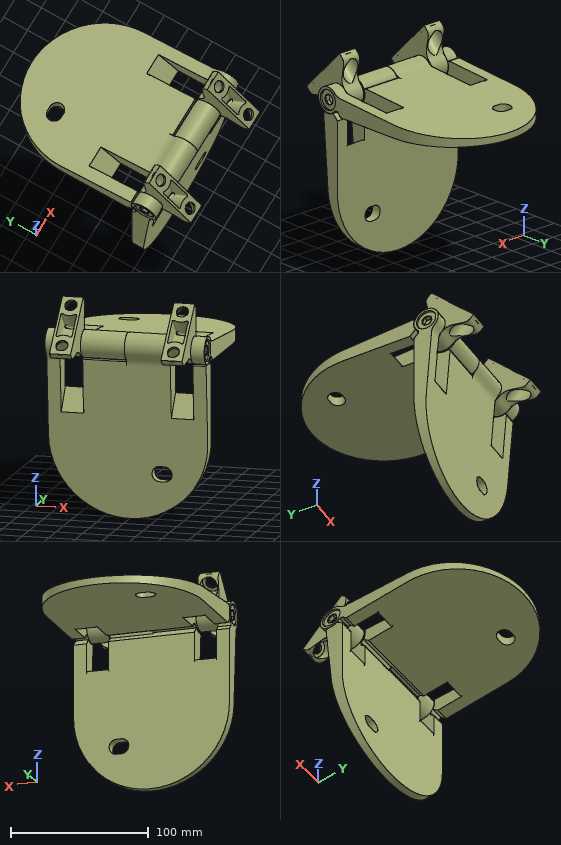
import cadquery as cq
import math

HALF_WIDTH = 60.0
LEAF_REACH = 129.5
KNUCKLE_R = 10.1
KNUCKLE_FILLET = 10.0
PIN_R = 5.0

SURFACE_HEIGHT = 5.5
TIP_THICKNESS = 5.7
ROOT_CHAMFER = 3.5
CLEARANCE_R = 10.5
NOTCH_BEVEL_START = 10.8
SLOT_INNER_X = 33.0
SLOT_OUTER_X = 49.9
SLOT_LONG_REACH = 51.7
SLOT_SHORT_REACH = 34.8
OBLONG_X = 25.0
OBLONG_REACH = 94.5
OBLONG_LENGTH = 14.9
OBLONG_WIDTH = 11.3

BRACKET_WIDTH = 15.9
FACE_DISTANCE = 23.0
FACE_HALF_LENGTH = 25.0
END_HEIGHT = 7.0
END_ROUND = 5.0
FLANK_ANGLE = 35.0
SCREW_OFFSET = 17.5
SCREW_R = 4.4
WALL = 2.0
SEAT_R = 7.0
POCKET_ROUND = 1.0

HEAD_R = 8.0
HEAD_LENGTH = 5.0
HEAD_ROUND = 1.0
HEAD_SINK = 1.0
SOCKET_CORNERS = 8.0
SOCKET_MOUTH_R = 4.1
SOCKET_DEPTH = 3.6
DRILL_POINT_HALF_ANGLE = 59.0

FLAT_Z = -KNUCKLE_R
TIP_Z = FLAT_Z + TIP_THICKNESS
SLOPE = (SURFACE_HEIGHT - TIP_Z) / LEAF_REACH
RECESS_DEPTH = HEAD_LENGTH + HEAD_SINK
OVERCUT = 1.6


def surface_z(y):
    """Height of the leaf's sloping face at distance y from the hinge axis."""
    return SURFACE_HEIGHT - SLOPE * y


def extrude_x(points, x_start, x_end):
    """Prism along X with a (y, z) polygon as its section."""
    section = cq.Workplane("YZ", origin=(x_start, 0, 0)).polyline(points).close()
    return section.extrude(x_end - x_start)


def cylinder_x(radius, x_start, x_end):
    """Cylinder on the hinge axis."""
    return cq.Workplane("YZ", origin=(x_start, 0, 0)).circle(radius).extrude(x_end - x_start)


def leaf_plate():
    """Tapered plate with a round end and knuckles along its whole width."""
    tilt = math.atan(SLOPE)
    centre_gap = KNUCKLE_R + KNUCKLE_FILLET
    axis_to_surface = SURFACE_HEIGHT * math.cos(tilt)
    direction = math.asin((axis_to_surface + KNUCKLE_FILLET) / centre_gap) - tilt
    centre_y = centre_gap * math.cos(direction)
    centre_z = centre_gap * math.sin(direction)
    knuckle_touch = (KNUCKLE_R * math.cos(direction), KNUCKLE_R * math.sin(direction))
    surface_touch = (
        centre_y - KNUCKLE_FILLET * math.sin(tilt),
        centre_z - KNUCKLE_FILLET * math.cos(tilt),
    )
    end_angle = -math.pi / 2 - tilt
    mid_angle = (direction - math.pi + end_angle) / 2
    blend_middle = (
        centre_y + KNUCKLE_FILLET * math.cos(mid_angle),
        centre_z + KNUCKLE_FILLET * math.sin(mid_angle),
    )
    shelf_z = FLAT_Z + ROOT_CHAMFER
    shelf_y = math.sqrt(KNUCKLE_R**2 - shelf_z**2)
    section = (
        cq.Workplane("YZ", origin=(-HALF_WIDTH, 0, 0))
        .moveTo(LEAF_REACH, FLAT_Z)
        .lineTo(KNUCKLE_R + ROOT_CHAMFER, FLAT_Z)
        .lineTo(KNUCKLE_R, shelf_z)
        .lineTo(shelf_y, shelf_z)
        .threePointArc((-KNUCKLE_R, 0), knuckle_touch)
        .threePointArc(blend_middle, surface_touch)
        .lineTo(LEAF_REACH, TIP_Z)
        .close()
    )
    plate = section.extrude(2 * HALF_WIDTH)

    arc_centre_y = LEAF_REACH - HALF_WIDTH
    outline = (
        cq.Workplane("XY", origin=(0, 0, -2 * KNUCKLE_R))
        .moveTo(-HALF_WIDTH, -KNUCKLE_R)
        .lineTo(HALF_WIDTH, -KNUCKLE_R)
        .lineTo(HALF_WIDTH, arc_centre_y)
        .threePointArc((0, LEAF_REACH), (-HALF_WIDTH, arc_centre_y))
        .close()
        .extrude(4 * KNUCKLE_R)
    )
    return plate.intersect(outline)


def knuckle_notch(x_start, x_end):
    """Space for a knuckle of the other leaf: a round hollow with 45 degree bevels beside it."""
    hollow = cylinder_x(CLEARANCE_R, x_start, x_end)
    far = 3 * KNUCKLE_R
    bevel_top_z = surface_z(NOTCH_BEVEL_START)
    above = extrude_x(
        [
            (0, bevel_top_z - NOTCH_BEVEL_START),
            (NOTCH_BEVEL_START, bevel_top_z),
            (far, surface_z(far)),
            (far, far),
            (0, far),
        ],
        x_start,
        x_end,
    )
    below = extrude_x(
        [(0, ROOT_CHAMFER), (KNUCKLE_R + ROOT_CHAMFER, FLAT_Z), (0, FLAT_Z)],
        x_start,
        x_end,
    )
    return hollow.union(above).union(below)


def bracket_slot(x_start, x_end):
    """Open slot with a slanting end wall."""
    slant = (SLOT_LONG_REACH - SLOT_SHORT_REACH) / (surface_z(SLOT_LONG_REACH) - FLAT_Z)
    top_z = 2 * KNUCKLE_R
    bottom_z = FLAT_Z - OVERCUT
    start_y = -KNUCKLE_R - OVERCUT
    return extrude_x(
        [
            (start_y, bottom_z),
            (SLOT_SHORT_REACH - slant * OVERCUT, bottom_z),
            (SLOT_SHORT_REACH + slant * (top_z - FLAT_Z), top_z),
            (start_y, top_z),
        ],
        x_start,
        x_end,
    )


def make_leaf():
    """Leaf reaching along +Y, flat face down."""
    leaf = leaf_plate()
    leaf = leaf.cut(knuckle_notch(0, SLOT_INNER_X))
    leaf = leaf.cut(knuckle_notch(-HALF_WIDTH, -SLOT_OUTER_X))
    leaf = leaf.cut(bracket_slot(SLOT_INNER_X, SLOT_OUTER_X))
    leaf = leaf.cut(bracket_slot(-SLOT_OUTER_X, -SLOT_INNER_X))
    leaf = leaf.cut(cylinder_x(PIN_R, -HALF_WIDTH, HALF_WIDTH))
    leaf = leaf.cut(cylinder_x(HEAD_R, HALF_WIDTH - RECESS_DEPTH, HALF_WIDTH))
    oblong = (
        cq.Workplane("XY", origin=(-OBLONG_X, OBLONG_REACH, FLAT_Z - OVERCUT))
        .slot2D(OBLONG_LENGTH, OBLONG_WIDTH)
        .extrude(2 * KNUCKLE_R)
    )
    return leaf.cut(oblong)


def bracket_body():
    """Eye that spreads into a mounting plate; Y runs along the plate and Z away from the axis."""
    flank = math.radians(FLANK_ANGLE)
    end_z = FACE_DISTANCE - END_HEIGHT
    centre_gap = KNUCKLE_R + KNUCKLE_FILLET
    across = FACE_HALF_LENGTH * math.sin(flank) - end_z * math.cos(flank) + KNUCKLE_FILLET
    along = math.sqrt(centre_gap**2 - across**2)
    centre_y = across * math.sin(flank) + along * math.cos(flank)
    centre_z = along * math.sin(flank) - across * math.cos(flank)
    direction = math.atan2(centre_z, centre_y)
    eye_y = KNUCKLE_R * math.cos(direction)
    eye_z = KNUCKLE_R * math.sin(direction)
    flank_y = centre_y - KNUCKLE_FILLET * math.sin(flank)
    flank_z = centre_z + KNUCKLE_FILLET * math.cos(flank)
    mid_angle = (direction + math.pi + math.pi / 2 + flank) / 2
    mid_y = centre_y + KNUCKLE_FILLET * math.cos(mid_angle)
    mid_z = centre_z + KNUCKLE_FILLET * math.sin(mid_angle)
    body = (
        cq.Workplane("YZ", origin=(-BRACKET_WIDTH / 2, 0, 0))
        .moveTo(-FACE_HALF_LENGTH, FACE_DISTANCE)
        .lineTo(-FACE_HALF_LENGTH, end_z)
        .lineTo(-flank_y, flank_z)
        .threePointArc((-mid_y, mid_z), (-eye_y, eye_z))
        .threePointArc((0, -KNUCKLE_R), (eye_y, eye_z))
        .threePointArc((mid_y, mid_z), (flank_y, flank_z))
        .lineTo(FACE_HALF_LENGTH, end_z)
        .lineTo(FACE_HALF_LENGTH, FACE_DISTANCE)
        .close()
        .extrude(BRACKET_WIDTH)
    )
    corners = [(0, y, end_z) for y in (-FACE_HALF_LENGTH, FACE_HALF_LENGTH)]
    for corner in corners:
        edge = cq.selectors.NearestToPointSelector(corner)
        body = body.edges("|X").edges(edge).fillet(END_ROUND)
    return body


def saddle_block():
    """Block as wide as the pocket that sits on the eye, its two long floor edges rounded."""
    block = (
        cq.Workplane("XY")
        .rect(BRACKET_WIDTH - 2 * WALL, 2 * KNUCKLE_R)
        .extrude(FACE_DISTANCE)
        .cut(cylinder_x(KNUCKLE_R, -BRACKET_WIDTH, BRACKET_WIDTH))
    )
    floor_edges = block.faces(cq.selectors.NearestToPointSelector((0, 0, KNUCKLE_R))).edges("<X or >X")
    return floor_edges.fillet(POCKET_ROUND)


def seat_wall(screw_y):
    """Round wall about a screw seat, with a flared foot that blends into the eye."""
    wall_r = SEAT_R + WALL
    flare_y = SCREW_OFFSET - wall_r - POCKET_ROUND
    eye_gap = KNUCKLE_R + POCKET_ROUND
    flare_z = math.sqrt(eye_gap**2 - flare_y**2)
    foot_r = SCREW_OFFSET - flare_y * KNUCKLE_R / eye_gap
    foot_z = flare_z * KNUCKLE_R / eye_gap
    flare_middle = (math.pi - math.atan2(flare_z, flare_y)) / -2
    wall = (
        cq.Workplane("XZ")
        .moveTo(0, 0)
        .lineTo(foot_r, 0)
        .lineTo(foot_r, foot_z)
        .threePointArc(
            (
                wall_r + POCKET_ROUND + POCKET_ROUND * math.cos(math.pi - flare_middle),
                flare_z + POCKET_ROUND * math.sin(flare_middle),
            ),
            (wall_r, flare_z),
        )
        .lineTo(wall_r, FACE_DISTANCE)
        .lineTo(0, FACE_DISTANCE)
        .close()
        .revolve(360, (0, 0, 0), (0, 1, 0))
    )
    return wall.translate((0, screw_y, 0))


def bracket_pocket():
    """Pocket between the screws; its ends curve round the seats and its floor round the eye."""
    screw_points = [(0, -SCREW_OFFSET), (0, SCREW_OFFSET)]
    walls = cq.Workplane("XY").pushPoints(screw_points).circle(SEAT_R + WALL).extrude(FACE_DISTANCE)
    outline = (
        cq.Workplane("XY")
        .rect(BRACKET_WIDTH - 2 * WALL, 2 * SCREW_OFFSET)
        .extrude(FACE_DISTANCE)
        .cut(walls)
        .edges("|Z")
        .fillet(POCKET_ROUND)
    )
    pocket = outline.intersect(saddle_block())
    for screw_y in (-SCREW_OFFSET, SCREW_OFFSET):
        pocket = pocket.cut(seat_wall(screw_y))
    return pocket


def make_bracket(x_middle):
    """Bracket turned so that its mounting plate faces halfway between -Y and +Z."""
    bracket = bracket_body().cut(bracket_pocket())
    screw_points = [(0, -SCREW_OFFSET), (0, SCREW_OFFSET)]
    holes = cq.Workplane("XY").pushPoints(screw_points).circle(SCREW_R).extrude(FACE_DISTANCE)
    seats = cq.Workplane("XY").pushPoints(screw_points).circle(SEAT_R).extrude(FACE_DISTANCE - WALL)
    bracket = bracket.cut(holes).cut(seats)
    bracket = bracket.cut(cylinder_x(PIN_R, -BRACKET_WIDTH, BRACKET_WIDTH))
    return bracket.rotate((0, 0, 0), (1, 0, 0), 45).translate((x_middle, 0, 0))


def pin_socket(face_x):
    """Hexagon socket with a chamfered mouth and a drill point, open at face_x."""
    inscribed_r = SOCKET_CORNERS / 2 * math.cos(math.pi / 6)
    mouth_depth = SOCKET_MOUTH_R - inscribed_r
    bottom_x = face_x + SOCKET_DEPTH
    point_x = bottom_x + inscribed_r / math.tan(math.radians(DRILL_POINT_HALF_ANGLE))
    hexagon = (
        cq.Workplane("YZ", origin=(face_x, 0, 0))
        .polygon(6, SOCKET_CORNERS)
        .extrude(SOCKET_DEPTH)
    )
    round_part = (
        cq.Workplane("XY")
        .polyline(
            [
                (face_x, 0),
                (face_x, SOCKET_MOUTH_R),
                (face_x + mouth_depth, inscribed_r),
                (bottom_x, inscribed_r),
                (point_x, 0),
            ]
        )
        .close()
        .revolve(360, (0, 0, 0), (1, 0, 0))
    )
    return hexagon.union(round_part)


def make_pin():
    """Headed pin from the -X end to the middle of the hinge."""
    head_x = -HALF_WIDTH + HEAD_SINK
    head = cylinder_x(HEAD_R, head_x, head_x + HEAD_LENGTH).faces("<X").edges().fillet(HEAD_ROUND)
    shaft = cylinder_x(PIN_R, head_x + HEAD_LENGTH, 0)
    return head.union(shaft).cut(pin_socket(head_x))


def half_turn(body):
    """Half turn about the line halfway between -Y and +Z, which swaps the two hinge halves."""
    return body.rotate((0, 0, 0), (0, -1, 1), 180)


bracket_x = SLOT_OUTER_X - BRACKET_WIDTH / 2
leaf = make_leaf()
pin = make_pin()
leaves = [leaf, half_turn(leaf)]
pins = [pin, half_turn(pin)]
brackets = [make_bracket(x) for x in (-bracket_x, bracket_x)]

result = cq.Compound.makeCompound([body.val() for body in leaves + brackets + pins])